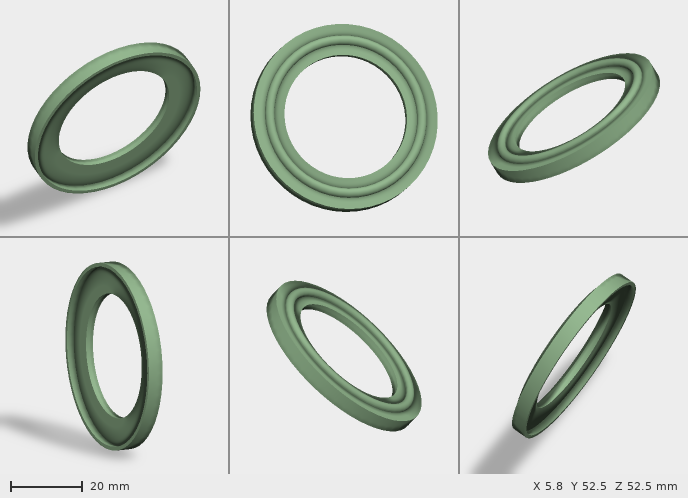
import cadquery as cq

outer_diameter = 52.5
bore_diameter = 34.95
overall_thickness = 5.8
bead_height = 1.5
ring_thickness = overall_thickness - bead_height

web_thickness = 2.15
recess_diameter = 50.4
recess_depth = ring_thickness - web_thickness

bead_outer_diameter = 46.15
bead_width = 2.75
foot_height = 0.35
foot_flare = 0.1
bead_center_radius = (bead_outer_diameter - bead_width) / 2

bead_crest_x = -overall_thickness / 2
ring_face_x = bead_crest_x + bead_height
foot_top_x = ring_face_x - foot_height
web_back_x = ring_face_x + web_thickness

ring = (
    cq.Workplane("YZ", origin=(ring_face_x, 0, 0))
    .circle(outer_diameter / 2)
    .circle(bore_diameter / 2)
    .extrude(ring_thickness)
)
recess = (
    cq.Workplane("YZ", origin=(web_back_x, 0, 0))
    .circle(recess_diameter / 2)
    .extrude(recess_depth)
)

foot_inner_radius = bead_center_radius - bead_width / 2
foot_outer_radius = bead_center_radius + bead_width / 2
crest_start = (foot_top_x, foot_inner_radius + foot_flare)
crest_peak = (bead_crest_x, bead_center_radius)
crest_end = (foot_top_x, foot_outer_radius - foot_flare)
bead = (
    cq.Workplane("XY")
    .moveTo(ring_face_x, foot_inner_radius)
    .lineTo(*crest_start)
    .threePointArc(crest_peak, crest_end)
    .lineTo(ring_face_x, foot_outer_radius)
    .close()
    .revolve(360, (0, 0, 0), (1, 0, 0))
)

result = ring.cut(recess).union(bead)